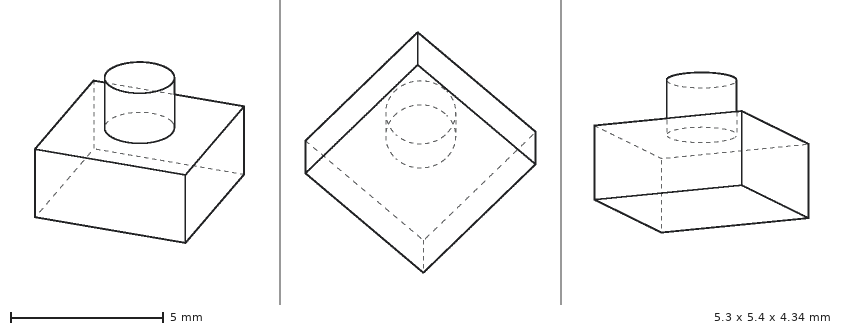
import cadquery as cq

base_length_x = 5.3
base_width_y = 5.4
base_height = 2.5

pin_diameter = 2.3
total_height = 4.34
pin_height = total_height - base_height


def make_base():
    """Block centred on the Z axis with its bottom face at Z = 0."""
    return cq.Workplane("XY").box(
        base_length_x, base_width_y, base_height, centered=(True, True, False)
    )


def add_pin(body):
    """Join the cylindrical pin to the top face of the base."""
    return body.faces(">Z").workplane().circle(pin_diameter / 2).extrude(pin_height)


result = add_pin(make_base())